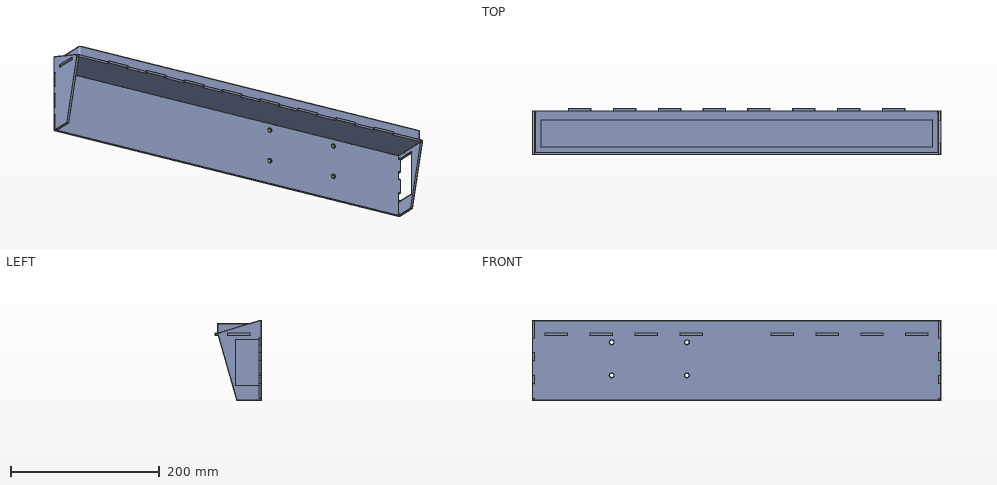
import cadquery as cq

OVERALL_WIDTH = 550.0
RIGHT_TAB_OVERHANG = 0.3
CASING_WIDTH = OVERALL_WIDTH - RIGHT_TAB_OVERHANG
FRONT_HEIGHT = 107.0
PANEL_THICKNESS = 3.0

FOOT_DEPTH = 33.0
CASING_DEPTH = 59.0
BACK_CORNER_Z = 90.0

FINGER_HEIGHT = 20.0
FINGER_PITCH = 31.0
FINGER_COUNT = 3
FIRST_FINGER_Z = 3.0

WINDOW_BACK_Y = 34.5
WINDOW_BOTTOM_Z = 20.0
WINDOW_TOP_Z = 82.0

HOLE_DIAMETER = 6.0
HOLE_X = (106.5, 208.0)
HOLE_Z = (33.5, 78.0)

SHELF_BOTTOM_Z = 87.5
TAB_LENGTH = 30.0
TAB_PITCH = 60.5
TABS_PER_GROUP = 4
FRONT_TAB_START_X = 17.0
BACK_TAB_START_X = 48.5
BACK_TAB_REACH = 3.5
SIDE_TAB_START_Y = 15.5

DISPLAY_END_GAP = 1.0
DISPLAY_TOP_Z = 103.5
DISPLAY_CORNER_RADIUS = 3.0
SCREEN_END_MARGIN = 7.0
SCREEN_FRONT_Y = 10.0
SCREEN_BACK_Y = 47.0
SCREEN_DEPTH = 0.5

SHELF_TOP_Z = SHELF_BOTTOM_Z + PANEL_THICKNESS
RIGHT_SIDE_X = CASING_WIDTH - PANEL_THICKNESS


def block(x_range, y_range, z_range):
    """Box spanning the given (low, high) range on each axis."""
    ranges = (x_range, y_range, z_range)
    sizes = [high - low for low, high in ranges]
    corner = tuple(low for low, high in ranges)
    return cq.Workplane("XY").box(*sizes, centered=False).translate(corner)


def tab_starts(first_x):
    """Low X of every tab along one long side, mirrored about the middle of the casing."""
    left_group = [first_x + i * TAB_PITCH for i in range(TABS_PER_GROUP)]
    right_group = [CASING_WIDTH - x - TAB_LENGTH for x in left_group]
    return left_group + right_group


def make_shelf():
    shelf_z = (SHELF_BOTTOM_Z, SHELF_TOP_Z)
    shelf = block((PANEL_THICKNESS, RIGHT_SIDE_X), (PANEL_THICKNESS, CASING_DEPTH), shelf_z)
    for x in tab_starts(FRONT_TAB_START_X):
        shelf = shelf.union(block((x, x + TAB_LENGTH), (0, PANEL_THICKNESS), shelf_z))
    for x in tab_starts(BACK_TAB_START_X):
        tab_y = (CASING_DEPTH, CASING_DEPTH + BACK_TAB_REACH)
        shelf = shelf.union(block((x, x + TAB_LENGTH), tab_y, shelf_z))
    side_tab_y = (SIDE_TAB_START_Y, SIDE_TAB_START_Y + TAB_LENGTH)
    side_tabs = block((0, OVERALL_WIDTH), side_tab_y, shelf_z)
    return shelf.union(side_tabs)


def make_front_panel(shelf):
    panel = block((PANEL_THICKNESS, RIGHT_SIDE_X), (0, PANEL_THICKNESS), (0, FRONT_HEIGHT))
    for i in range(FINGER_COUNT):
        z = FIRST_FINGER_Z + i * FINGER_PITCH
        finger_row = block((0, CASING_WIDTH), (0, PANEL_THICKNESS), (z, z + FINGER_HEIGHT))
        panel = panel.union(finger_row)
    holes = (
        cq.Workplane("XZ")
        .pushPoints([(x, z) for x in HOLE_X for z in HOLE_Z])
        .circle(HOLE_DIAMETER / 2)
        .extrude(-PANEL_THICKNESS)
    )
    return panel.cut(holes).cut(shelf)


def make_side_panel(low_x, front_panel, shelf):
    """Side panel from low_x to one thickness beyond, notched for the fingers and the tab."""
    outline = [
        (0, 0),
        (FOOT_DEPTH, 0),
        (CASING_DEPTH, BACK_CORNER_Z),
        (PANEL_THICKNESS, FRONT_HEIGHT),
        (0, FRONT_HEIGHT),
    ]
    panel = cq.Workplane("YZ", origin=(low_x, 0, 0)).polyline(outline).close().extrude(PANEL_THICKNESS)
    return panel.cut(front_panel).cut(shelf)


def cut_window(side_panel):
    window = block((0, PANEL_THICKNESS), (0, WINDOW_BACK_Y), (WINDOW_BOTTOM_Z, WINDOW_TOP_Z))
    return side_panel.cut(window)


def make_display():
    left_x = PANEL_THICKNESS + DISPLAY_END_GAP
    right_x = CASING_WIDTH - left_x
    body = block((left_x, right_x), (PANEL_THICKNESS, CASING_DEPTH), (SHELF_TOP_Z, DISPLAY_TOP_Z))
    body = body.edges("|Z and >Y").fillet(DISPLAY_CORNER_RADIUS)
    screen_recess = block(
        (left_x + SCREEN_END_MARGIN, right_x - SCREEN_END_MARGIN),
        (SCREEN_FRONT_Y, SCREEN_BACK_Y),
        (DISPLAY_TOP_Z - SCREEN_DEPTH, DISPLAY_TOP_Z),
    )
    return body.cut(screen_recess)


shelf = make_shelf()
front_panel = make_front_panel(shelf)
left_side = cut_window(make_side_panel(0, front_panel, shelf))
right_side = make_side_panel(RIGHT_SIDE_X, front_panel, shelf)
display = make_display()

bodies = (front_panel, left_side, right_side, shelf, display)
result = cq.Compound.makeCompound([body.solids().val() for body in bodies])